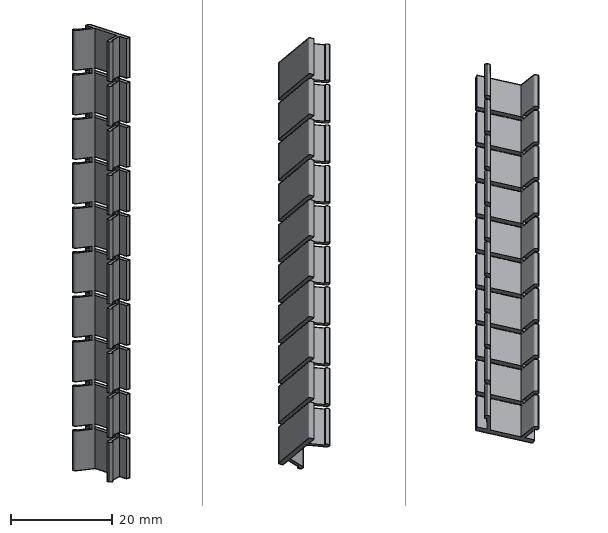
import cadquery as cq

length = 91.0
width = 12.0
depth = 5.1
plate_thickness = 1.1
plate_edge_radius = 0.3

segment_count = 10
slot_width = 1.0
segment_length = (length - (segment_count - 1) * slot_width) / segment_count
pitch = segment_length + slot_width

leg_root_inner = 3.2
leg_tip_inner = 4.6
leg_thickness = 0.77
leg_tip_radius = 0.5
foot_outer = 5.6
foot_height = 1.0
foot_bulge = 0.3

stub_depth = 0.6

back_y = depth / 2
plate_front_y = back_y - plate_thickness
tip_y = -depth / 2
foot_top_y = tip_y + foot_height
foot_corner = foot_outer - foot_bulge

leg_slope = (leg_tip_inner - leg_root_inner) / (plate_front_y - tip_y)
leg_root_outer = leg_root_inner + leg_thickness
leg_outer_knee = leg_root_outer + leg_slope * (plate_front_y - foot_top_y)


def plate():
    """Flat back plate with rounded rear edges."""
    body = (
        cq.Workplane("XY")
        .box(width, plate_thickness, length)
        .translate((0, back_y - plate_thickness / 2, 0))
    )
    return body.edges("|Z and >Y").fillet(plate_edge_radius)


def leg():
    """The leg on the +X side, with a bulging outer foot face and a rounded inner tip."""
    body = (
        cq.Workplane("XY")
        .moveTo(leg_root_inner, plate_front_y)
        .lineTo(leg_root_outer, plate_front_y)
        .lineTo(leg_outer_knee, foot_top_y)
        .lineTo(foot_corner, foot_top_y)
        .threePointArc((foot_outer, (foot_top_y + tip_y) / 2), (foot_corner, tip_y))
        .lineTo(leg_tip_inner, tip_y)
        .close()
        .extrude(length / 2, both=True)
    )
    inner_tip = cq.selectors.NearestToPointSelector((leg_tip_inner, tip_y, 0))
    return body.edges("|Z").edges(inner_tip).fillet(leg_tip_radius)


def profile():
    """The continuous strip before slotting: plate with mirrored legs."""
    right_leg = leg()
    return plate().union(right_leg).union(right_leg.mirror("YZ"))


def slots():
    """Cutters between the segments, sparing only the stub at the root of each leg."""
    boxes = cq.Workplane("XY")
    for index in range(1, segment_count):
        slot_z = -length / 2 + index * pitch - slot_width / 2
        slot = cq.Workplane("XY").box(width, depth, slot_width).translate((0, 0, slot_z))
        boxes = boxes.union(slot)
    stub_zone = (
        cq.Workplane("XY")
        .box(width, stub_depth, length)
        .translate((0, plate_front_y - stub_depth / 2, 0))
    )
    return boxes.cut(stub_zone)


result = profile().cut(slots())